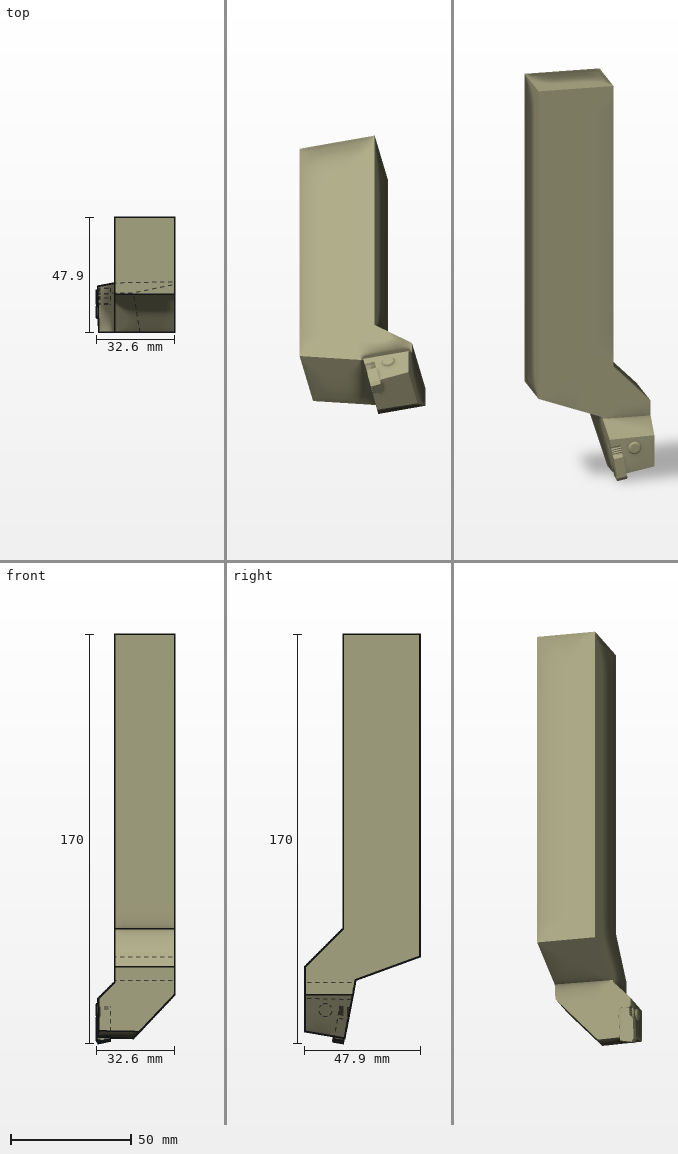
import cadquery as cq
import math


shank_width = 25.0
shank_depth = 32.0
total_height = 170.03
head_offset = 15.85
total_depth = head_offset + shank_depth
bevel_top_z = 47.7
bevel_bottom_z = bevel_top_z - head_offset
back_slope = 20.0
back_corner_z = 36.1

tilt = 10.0
tip_y = 15.9
head_end = 2.45
head_length = 28.0
clearance_angle = 1.0
side_reach = 6.6
side_taper = 1.4
shoulder_z = 25.45
relief_corner_z = 20.3
relief_angle = 46.5

screw_diameter = 5.45
screw_corner_radius = 1.0
screw_y = 8.5
screw_z = 14.0
screw_root = 2.0

insert_face_x = -7.64
seat_x = -1.7
insert_front = -4.2
insert_back = -0.15
face_start = 1.5
face_end = 10.1
insert_length = 14.7

lip_front = -4.4
lip_height = 1.9
lip_corner = 0.5
lip_clearance = 12.0
edge_x = -6.7

valley_x = -6.1
ridge_height = 0.45
ridge_count = 3
roof_top = 15.5

back_reach = side_reach + total_depth * math.tan(math.radians(side_taper))
head_width = back_reach + shank_width
clearance_drop = head_width * math.tan(math.radians(clearance_angle))


def tilted(body):
    """Lean an upright body, drawn with its tip on the X axis, to the head's working angle."""
    return body.rotate((0, 0, 0), (1, 0, 0), -tilt).translate((0, tip_y, 0))


def upright_prism(points, y_start, y_end):
    """Extrude an XZ outline from y_start to y_end."""
    return cq.Workplane("XZ", origin=(0, y_end, 0)).polyline(points).close().extrude(y_end - y_start)


def shank():
    """Shank and its crank, down to the sloping back face."""
    slope_fall = total_depth * math.tan(math.radians(back_slope))
    outline = [
        (head_offset, total_height),
        (total_depth, total_height),
        (total_depth, back_corner_z),
        (0, back_corner_z - slope_fall),
        (0, bevel_bottom_z),
        (head_offset, bevel_top_z),
    ]
    return cq.Workplane("YZ").polyline(outline).close().extrude(shank_width)


def head_block():
    """Leaning block below the shank, cut off flat at the head's front face."""
    end_outline = [
        (-back_reach, head_end),
        (shank_width, head_end - clearance_drop),
        (shank_width, head_length),
        (-back_reach, head_length),
    ]
    back_outline = [
        (-back_reach, 0),
        (shank_width, clearance_drop),
        (shank_width, -total_depth),
        (-back_reach, -total_depth),
    ]
    back_limit = cq.Workplane("XY").polyline(back_outline).close().extrude(head_length)
    block = tilted(upright_prism(end_outline, -total_depth, total_depth).intersect(back_limit))
    front_limit = cq.Workplane("XY").box(
        2 * head_width, total_depth, total_depth, centered=(True, False, False)
    )
    return block.intersect(front_limit)


def front_limits():
    """Outline in XZ: straight shank, head stepped out to -X and relieved at +X."""
    relief_run = relief_corner_z / math.tan(math.radians(relief_angle))
    outline = [
        (0, total_height),
        (shank_width, total_height),
        (shank_width, relief_corner_z),
        (shank_width - relief_run, 0),
        (-back_reach, 0),
        (-back_reach, shoulder_z - back_reach),
        (0, shoulder_z),
    ]
    return upright_prism(outline, 0, total_depth)


def side_limits():
    """Plan outline whose -X side leans outward towards the back."""
    outline = [
        (-side_reach, 0),
        (shank_width, 0),
        (shank_width, total_depth),
        (-back_reach, total_depth),
    ]
    return cq.Workplane("XY").polyline(outline).close().extrude(total_height)


def screw_end():
    """Round screw end, rooted inside the head."""
    root_x = screw_root - side_reach
    return (
        cq.Workplane("YZ", origin=(root_x, screw_y, screw_z))
        .circle(screw_diameter / 2)
        .extrude(insert_face_x - root_x)
        .faces("<X")
        .edges()
        .fillet(screw_corner_radius)
    )


def insert_seat():
    """Slot for the insert, open at the side, back and end, with a sloping roof above the insert."""
    outline = [
        (seat_x, -head_end),
        (seat_x, insert_length),
        (valley_x, insert_length),
        (insert_face_x, roof_top),
        (insert_face_x, -head_end),
    ]
    return tilted(upright_prism(outline, insert_front, tip_y))


def make_holder():
    body = shank().union(head_block()).intersect(front_limits()).intersect(side_limits())
    return body.union(screw_end()).cut(insert_seat())


def make_insert():
    """Bar with a ridged upper end and a slightly wider cutting lip below the head."""
    lip_rise = (seat_x - edge_x) * math.tan(math.radians(lip_clearance))
    first_valley = face_end + valley_x - insert_face_x
    ridges = [(valley_x, first_valley)]
    for index in range(ridge_count):
        valley = first_valley + 2 * ridge_height * index
        ridges.append((valley_x - ridge_height, valley + ridge_height))
        ridges.append((valley_x, valley + 2 * ridge_height))
    outline = [
        (edge_x, 0),
        (insert_face_x, face_start),
        (insert_face_x, face_end),
        *ridges,
        (valley_x, insert_length),
        (seat_x, insert_length),
        (seat_x, lip_rise),
    ]
    bar = upright_prism(outline, insert_front, insert_back)
    lip_band = (
        cq.Workplane("XY")
        .box(-insert_face_x, -lip_front, lip_height, centered=False)
        .translate((insert_face_x, lip_front, 0))
        .edges("|X and <Y and <Z")
        .chamfer(lip_corner)
    )
    lip = upright_prism(outline, lip_front, 0).intersect(lip_band)
    return tilted(bar.union(lip))


holder = make_holder()
insert = make_insert()
result = cq.Compound.makeCompound([holder.solids().val(), insert.solids().val()])